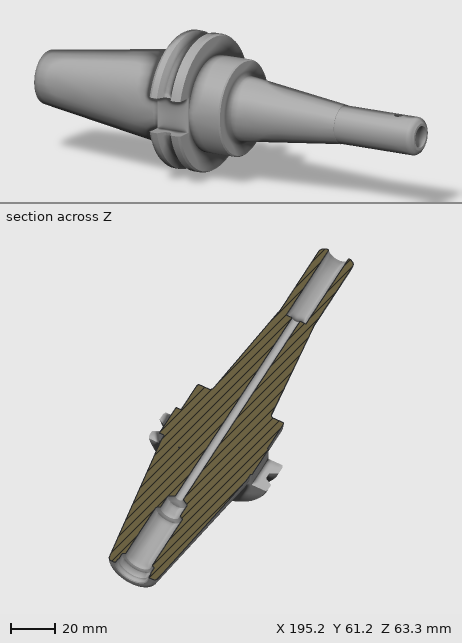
import cadquery as cq
import math

total_length = 195.2
taper_end = 68.3
flange_start = 71.3
flange_end = 87.3
body_end = 103.0
neck_end = 155.0

body_diameter = 44.5
flange_diameter = 63.3
shank_diameter = 17.5
neck_start_diameter = 29.9
neck_end_diameter = 18.0
taper_slope = 7 / 48

flange_chamfer_length = 1.2
flange_chamfer_height = 0.5
body_chamfer = 0.5
neck_fillet = 1.8
nose_fillet = 2.0
shank_tip_start = 192.3
shank_fillet = 2.5
shank_cone_angle = 60

groove_start = 75.4
groove_end = 82.5
groove_diameter = 56.0
groove_wall_angle = 60
groove_fillet = 0.8

slot_width = 16.2
shallow_slot_floor = 24.8
deep_slot_floor = 22.8

mouth_diameter = 17.5
counterbore_diameter = 16.8
pilot_diameter = 16.2
drill_diameter = 13.5
coolant_bore_diameter = 10.0
coolant_hole_diameter = 4.0
counterbore_depth = 2.3
pilot_depth = 5.9
drill_depth = 35.1
coolant_bore_depth = 43.0
drill_point_slope = math.tan(math.radians(30))

tool_bore_diameter = 10.0
tool_bore_depth = total_length - neck_end
screw_hole_diameter = 4.7
screw_x = 184.0


def revolve_about_x(points):
    """Revolve a closed (x, radius) outline about the spindle axis."""
    return cq.Workplane("XY").polyline(points).close().revolve(360, (0, 0, 0), (1, 0, 0))


def make_taper_and_body():
    body_radius = body_diameter / 2
    taper_small_radius = body_radius - taper_end * taper_slope
    body = revolve_about_x([
        (0, 0),
        (0, taper_small_radius),
        (taper_end, body_radius),
        (body_end - body_chamfer, body_radius),
        (body_end, body_radius - body_chamfer),
        (body_end, 0),
    ])
    return body.faces("<X").edges().fillet(nose_fillet)


def make_flange():
    rim = flange_diameter / 2
    chamfered_rim = rim - flange_chamfer_height
    groove_floor = groove_diameter / 2
    wall_run = (rim - groove_floor) / math.tan(math.radians(groove_wall_angle))
    groove_floor_start = groove_start + wall_run
    groove_floor_end = groove_end - wall_run
    flange = revolve_about_x([
        (flange_start, 0),
        (flange_start, chamfered_rim),
        (flange_start + flange_chamfer_length, rim),
        (groove_start, rim),
        (groove_floor_start, groove_floor),
        (groove_floor_end, groove_floor),
        (groove_end, rim),
        (flange_end - flange_chamfer_length, rim),
        (flange_end, chamfered_rim),
        (flange_end, 0),
    ])
    floor_corners = cq.selectors.BoxSelector(
        (groove_floor_start - groove_fillet, -rim, -rim),
        (groove_floor_end + groove_fillet, rim, rim),
        boundingbox=True,
    )
    floor_circles = flange.edges("%CIRCLE").edges(floor_corners)
    return floor_circles.fillet(groove_fillet)


def make_neck_and_shank():
    neck_fillet_end = body_end + neck_fillet
    neck_radius = neck_start_diameter / 2
    shank_radius = shank_diameter / 2
    fillet_diagonal = neck_fillet * (1 - math.sqrt(0.5))
    cone_angle = math.radians(shank_cone_angle)
    fillet_center = shank_radius - shank_fillet

    def fillet_point(angle):
        return (
            shank_tip_start + shank_fillet * math.sin(angle),
            fillet_center + shank_fillet * math.cos(angle),
        )

    cone_x, cone_radius = fillet_point(cone_angle)
    tip_radius = cone_radius - (total_length - cone_x) * math.tan(cone_angle)
    return (
        cq.Workplane("XY")
        .moveTo(body_end, 0)
        .lineTo(body_end, neck_radius + neck_fillet)
        .threePointArc(
            (body_end + fillet_diagonal, neck_radius + fillet_diagonal),
            (neck_fillet_end, neck_radius),
        )
        .lineTo(neck_end, neck_end_diameter / 2)
        .lineTo(neck_end, shank_radius)
        .lineTo(shank_tip_start, shank_radius)
        .threePointArc(fillet_point(cone_angle / 2), (cone_x, cone_radius))
        .lineTo(total_length, tip_radius)
        .lineTo(total_length, 0)
        .close()
        .revolve(360, (0, 0, 0), (1, 0, 0))
    )


def make_drive_slots():
    slot_length = flange_end - flange_start
    slots = cq.Workplane("XY")
    for side, floor in ((1, shallow_slot_floor), (-1, deep_slot_floor)):
        slot_depth = flange_diameter / 2 - floor
        slots = slots.union(
            cq.Workplane("XY")
            .box(slot_length, slot_depth, slot_width, centered=(False, True, True))
            .translate((flange_start, side * (floor + slot_depth / 2), 0))
        )
    return slots


def make_pull_stud_socket():
    mouth = mouth_diameter / 2
    counterbore = counterbore_diameter / 2
    pilot = pilot_diameter / 2
    drill = drill_diameter / 2
    coolant_bore = coolant_bore_diameter / 2
    coolant_hole = coolant_hole_diameter / 2
    return revolve_about_x([
        (0, 0),
        (0, mouth),
        (mouth - counterbore, counterbore),
        (counterbore_depth, counterbore),
        (counterbore_depth + counterbore - pilot, pilot),
        (pilot_depth, pilot),
        (pilot_depth + (pilot - drill) * drill_point_slope, drill),
        (drill_depth, drill),
        (drill_depth + (drill - coolant_bore) * drill_point_slope, coolant_bore),
        (coolant_bore_depth, coolant_bore),
        (coolant_bore_depth + (coolant_bore - coolant_hole) * drill_point_slope, coolant_hole),
        (total_length, coolant_hole),
        (total_length, 0),
    ])


def make_tool_bore():
    return (
        cq.Workplane("YZ", origin=(total_length, 0, 0))
        .circle(tool_bore_diameter / 2)
        .extrude(-tool_bore_depth)
    )


def make_screw_hole():
    return (
        cq.Workplane("XY")
        .center(screw_x, 0)
        .circle(screw_hole_diameter / 2)
        .extrude(shank_diameter)
    )


holder = make_taper_and_body().union(make_flange()).union(make_neck_and_shank())
for cutter in (make_drive_slots(), make_pull_stud_socket(), make_tool_bore(), make_screw_hole()):
    holder = holder.cut(cutter)

result = holder